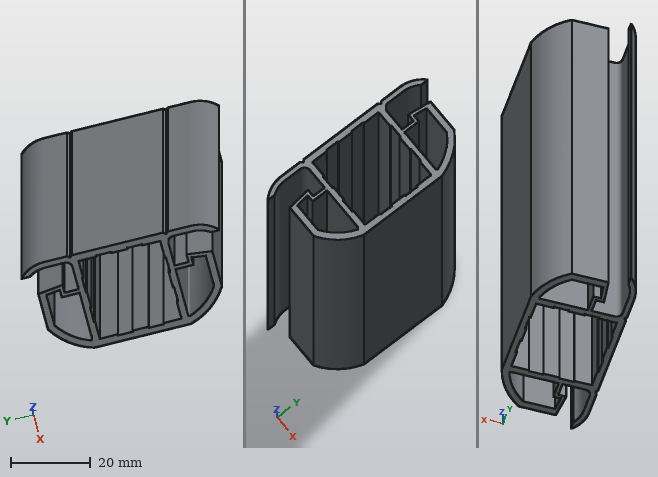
import cadquery as cq
import math

LENGTH = 100.0
WIDTH = 25.0
HALF_SPAN = 25.5

TUBE_HALF = 12.4
BORE = 21.1
RELIEF_WIDTH = 3.8
RELIEF_DEPTH = 0.3
RELIEF_OFFSET = 4.0

LIP_WALL = 1.5
LIP_RADIUS = 9.2
LIP_BEND_Y = 19.0
LIP_TIP_X = LIP_RADIUS - math.sqrt(LIP_RADIUS**2 - (HALF_SPAN - LIP_BEND_Y) ** 2)
LIP_TIP_FLAT = 0.2
LIP_ROOT_FILLET = 1.6

CHAMBER_TOP = 22.5
CHAMBER_WALL = 1.9
SHELL_RADIUS = 17.5
SHELL_BASE_Y = 12.5
SHELL_TOP_X = 17.4
STEP_WALL = 1.0
STEM_X = 9.1
STEP_X = 7.0
STEP_Y = 16.0
STEP_TOP_X = 7.8
CHAMBER_CORNER_FILLET = 0.4

NOTCH_Y = TUBE_HALF
NOTCH_WIDTH = 1.2
NOTCH_DEPTH = 0.5


def circle_center(start, end, radius):
    """Center of the arc that runs counterclockwise from start to end."""
    dx = end[0] - start[0]
    dy = end[1] - start[1]
    chord = math.hypot(dx, dy)
    rise = math.sqrt(radius**2 - (chord / 2) ** 2)
    return (
        (start[0] + end[0]) / 2 - dy / chord * rise,
        (start[1] + end[1]) / 2 + dx / chord * rise,
    )


def square_tube():
    tube = cq.Workplane("XY").box(WIDTH, 2 * TUBE_HALF, LENGTH, centered=(True, True, False))
    bore = cq.Workplane("XY").rect(BORE, BORE).extrude(LENGTH)
    relief_span = BORE + 2 * RELIEF_DEPTH
    for offset in (-RELIEF_OFFSET, RELIEF_OFFSET):
        across_x = cq.Workplane("XY").center(0, offset).rect(relief_span, RELIEF_WIDTH)
        across_y = cq.Workplane("XY").center(offset, 0).rect(RELIEF_WIDTH, relief_span)
        bore = bore.union(across_x.extrude(LENGTH)).union(across_y.extrude(LENGTH))
    return tube.cut(bore).translate((WIDTH / 2, 0, 0))


def lip():
    """Flange on the X = 0 face, with concentric inner and outer curls."""
    inner_radius = LIP_RADIUS - LIP_WALL
    tip_inner_x = LIP_TIP_X + LIP_TIP_FLAT
    tip_inner_y = LIP_BEND_Y + math.sqrt(inner_radius**2 - (LIP_RADIUS - tip_inner_x) ** 2)
    root_fillet_x = LIP_WALL + LIP_ROOT_FILLET
    root_y = TUBE_HALF - LIP_WALL
    return (
        cq.Workplane("XY")
        .moveTo(0, root_y)
        .lineTo(root_fillet_x, root_y)
        .lineTo(root_fillet_x, TUBE_HALF)
        .radiusArc((LIP_WALL, TUBE_HALF + LIP_ROOT_FILLET), LIP_ROOT_FILLET)
        .lineTo(LIP_WALL, LIP_BEND_Y)
        .radiusArc((tip_inner_x, tip_inner_y), inner_radius)
        .lineTo(tip_inner_x, HALF_SPAN)
        .lineTo(LIP_TIP_X, HALF_SPAN)
        .radiusArc((0, LIP_BEND_Y), -LIP_RADIUS)
        .close()
        .extrude(LENGTH)
    )


def chamber():
    """Curved shell and stepped wall enclosing a hollow beside the tube."""
    shell_base = (WIDTH, SHELL_BASE_Y)
    shell_top = (SHELL_TOP_X, CHAMBER_TOP)
    center_x, center_y = circle_center(shell_base, shell_top, SHELL_RADIUS)
    inner_radius = SHELL_RADIUS - CHAMBER_WALL
    inner_top_y = CHAMBER_TOP - CHAMBER_WALL
    inner_top_x = center_x + math.sqrt(inner_radius**2 - (inner_top_y - center_y) ** 2)
    inner_base_x = center_x + math.sqrt(inner_radius**2 - (TUBE_HALF - center_y) ** 2)
    root_y = TUBE_HALF - CHAMBER_WALL / 2
    lean = (STEP_TOP_X - STEP_X) / (CHAMBER_TOP - STEP_Y)
    step_inner_y = STEP_Y + STEP_WALL
    step_inner_x = STEP_X + STEP_WALL + lean * STEP_WALL
    inner_corner_x = STEP_X + STEP_WALL + lean * (inner_top_y - STEP_Y)

    outer = (
        cq.Workplane("XY")
        .moveTo(STEM_X, root_y)
        .lineTo(WIDTH, root_y)
        .lineTo(*shell_base)
        .radiusArc(shell_top, -SHELL_RADIUS)
        .lineTo(STEP_TOP_X, CHAMBER_TOP)
        .lineTo(STEP_X, STEP_Y)
        .lineTo(STEM_X, STEP_Y)
        .close()
        .extrude(LENGTH)
    )
    hollow = (
        cq.Workplane("XY")
        .moveTo(STEM_X + STEP_WALL, TUBE_HALF)
        .lineTo(inner_base_x, TUBE_HALF)
        .radiusArc((inner_top_x, inner_top_y), -inner_radius)
        .lineTo(inner_corner_x, inner_top_y)
        .lineTo(step_inner_x, step_inner_y)
        .lineTo(STEM_X + STEP_WALL, step_inner_y)
        .close()
        .extrude(LENGTH)
        .edges("|Z and >X")
        .fillet(CHAMBER_CORNER_FILLET)
    )
    return outer.cut(hollow)


def notch():
    return (
        cq.Workplane("XY")
        .moveTo(0, NOTCH_Y - NOTCH_WIDTH / 2)
        .lineTo(NOTCH_DEPTH, NOTCH_Y)
        .lineTo(0, NOTCH_Y + NOTCH_WIDTH / 2)
        .close()
        .extrude(LENGTH)
    )


side = lip().union(chamber())
grooves = notch().union(notch().mirror("XZ"))
result = square_tube().union(side).union(side.mirror("XZ")).cut(grooves)